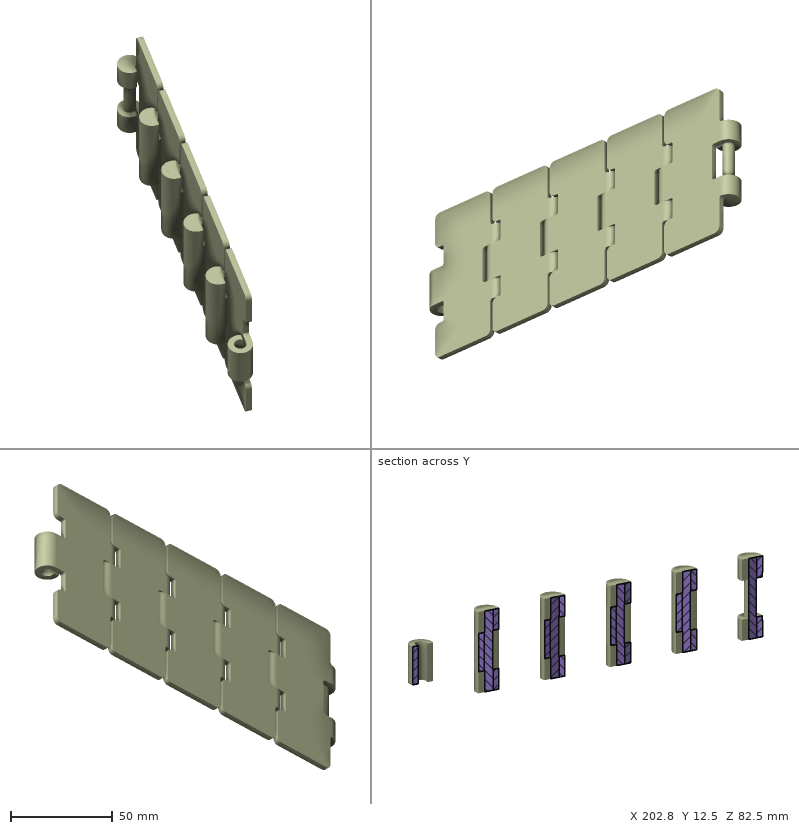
import cadquery as cq

chain_length = 202.8
plate_height = 82.5
link_count = 5

pin_diameter = 6.3
knuckle_diameter = 12.5
curl_end_y = 2.0

outer_knuckle_span = 42.5
middle_knuckle_width = 20.3
notch_height = 43.5

leading_edge = 0.6
window_edge = 5.58
trailing_edge = 0.8
notch_edge = 6.3

corner_radius = 3.0
relief_radius = 1.5
notch_radius = 0.8

pin_radius = pin_diameter / 2
knuckle_radius = knuckle_diameter / 2
pitch = (chain_length - knuckle_diameter) / link_count
outer_knuckle_width = (outer_knuckle_span - middle_knuckle_width) / 2

plate_top = plate_height / 2
outer_top = outer_knuckle_span / 2
middle_top = middle_knuckle_width / 2
notch_top = notch_height / 2

trailing_x = pitch - trailing_edge
notch_x = pitch - notch_edge


def z_cylinder(radius, x, z_bottom, height):
    """Cylinder on a pin axis at the given x."""
    return cq.Workplane("XY", origin=(x, 0, z_bottom)).circle(radius).extrude(height)


def round_corners(body, radius, corners):
    """Round the Y-direction edges at the given (x, z) corners, above and below mid-height."""
    reach = 0.02
    for x, z in corners:
        for side_z in (z, -z):
            box = cq.selectors.BoxSelector(
                (x - reach, -knuckle_radius, side_z - reach),
                (x + reach, 2 * knuckle_radius, side_z + reach),
            )
            body = body.edges(box).fillet(radius)
    return body


def make_sheet():
    """Flat part of a link, with the pin axis of its own hinge at x = 0."""
    upper_half = [
        (window_edge, middle_top),
        (-knuckle_radius, middle_top),
        (-knuckle_radius, outer_top),
        (leading_edge, outer_top),
        (leading_edge, plate_top),
        (trailing_x, plate_top),
        (trailing_x, notch_top),
        (notch_x, notch_top),
        (notch_x, middle_top),
        (pitch, middle_top),
    ]
    lower_half = [(x, -z) for x, z in reversed(upper_half)]
    sheet = (
        cq.Workplane("XZ", origin=(0, knuckle_radius, 0))
        .polyline(upper_half + lower_half)
        .close()
        .extrude(knuckle_radius - pin_radius)
    )
    sheet = round_corners(
        sheet,
        corner_radius,
        [(leading_edge, plate_top), (trailing_x, plate_top), (trailing_x, notch_top)],
    )
    sheet = round_corners(
        sheet, relief_radius, [(leading_edge, outer_top), (window_edge, middle_top)]
    )
    sheet = round_corners(sheet, notch_radius, [(notch_x, notch_top), (notch_x, middle_top)])

    flat_region = (
        cq.Workplane("XY")
        .box(pitch, knuckle_diameter, plate_height, centered=(False, True, True))
    )
    knuckle_round = z_cylinder(knuckle_radius, 0, -plate_top, plate_height)
    sheet = sheet.intersect(flat_region.union(knuckle_round))

    return sheet.cut(z_cylinder(knuckle_radius, 0, -middle_top, middle_knuckle_width))


def make_curl(x, opening_side, z_bottom, width):
    """Curled knuckle, open below the sheet on the +1 or -1 side in X."""
    ring = z_cylinder(knuckle_radius, x, z_bottom, width)
    ring = ring.cut(z_cylinder(pin_radius, x, z_bottom, width))
    opening = (
        cq.Workplane("XY", origin=(x, curl_end_y, z_bottom))
        .rect(opening_side * knuckle_radius, knuckle_radius, centered=False)
        .extrude(width)
    )
    return ring.cut(opening)


def make_link():
    """Hinge plate: two outer knuckles at x = 0 and a middle knuckle one pitch away."""
    link = make_sheet()
    for z_bottom in (-outer_top, middle_top):
        link = link.union(make_curl(0, 1, z_bottom, outer_knuckle_width))
    return link.union(make_curl(pitch, -1, -middle_top, middle_knuckle_width))


def make_pin():
    """Hinge pin, flush with the outer knuckles."""
    return z_cylinder(pin_radius, 0, -outer_top, outer_knuckle_span)


link = make_link()
pin = make_pin()
links = []
pins = []
for index in range(link_count):
    hinge_x = knuckle_radius - chain_length / 2 + index * pitch
    links.append(link.translate((hinge_x, 0, 0)).solids().val())
    pins.append(pin.translate((hinge_x, 0, 0)).val())

result = cq.Compound.makeCompound([*links, *pins])